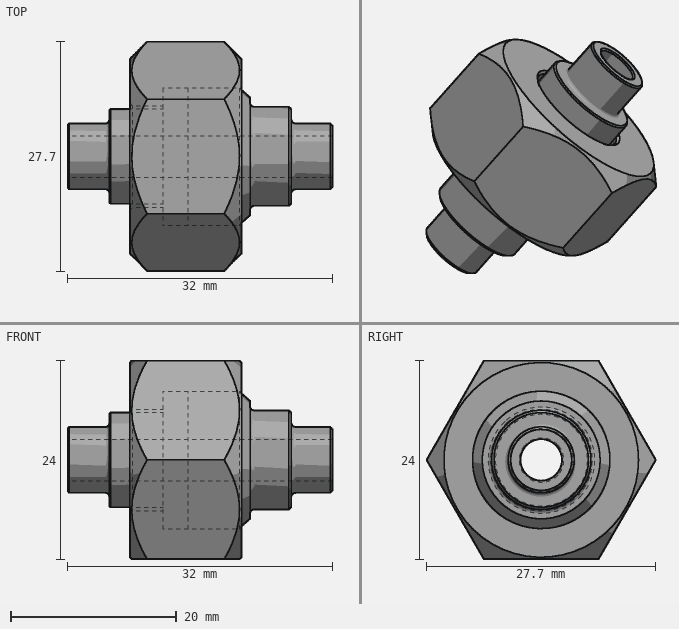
import cadquery as cq
import math

length = 32.0
left_end = -length / 2
right_end = length / 2
shank_length = 5.0
nut_width = 13.5
nut_left = left_end + 7.5
nut_right = nut_left + nut_width

across_flats = 24.0
across_corners = across_flats / math.cos(math.radians(30))
nut_face_diameter = 23.52
corner_chamfer = (across_corners - nut_face_diameter) / 2
nut_wall = 4.0
nut_opening_diameter = 12.3
nut_opening_chamfer = 0.3
thread_diameter = 16.6

bore_diameter = 5.0
bore_chamfer = 0.2
shank_diameter = 8.0

sleeve_diameter = 11.5
sleeve_edge_chamfer = 0.2
sleeve_root_fillet = 0.4
flange_thickness = 3.0
flange_left = nut_left + nut_wall
flange_right = flange_left + flange_thickness

collar_diameter = 12.0
collar_edge_chamfer = 0.3
fitting_tip_chamfer = 0.32
thread_end = right_end - 2 * shank_length
thread_chamfer_length = 1.3
thread_chamfer_depth = 1.2
fitting_root_fillet = 0.5


def cylinder(diameter, start, end):
    """Solid cylinder along X between two X positions."""
    return cq.Workplane("YZ", origin=(start, 0, 0)).circle(diameter / 2).extrude(end - start)


def chamfered_cylinder(diameter, start, end, chamfer, chamfered_end):
    """Cylinder along X with a chamfer on the rim selected as '<X' or '>X'."""
    return cylinder(diameter, start, end).faces(chamfered_end).chamfer(chamfer)


def root_flare(diameter, root, direction, root_fillet):
    """Concave fillet ring around a cylinder, leaving the wall at root in the given X direction."""
    radius = diameter / 2
    reach = direction * root_fillet
    arc_offset = root_fillet * (1 - math.sqrt(0.5))
    return (
        cq.Workplane("XY")
        .moveTo(root, 0)
        .lineTo(root, radius + root_fillet)
        .threePointArc((root + direction * arc_offset, radius + arc_offset), (root + reach, radius))
        .lineTo(root + reach, 0)
        .close()
        .revolve(360, (0, 0, 0), (1, 0, 0))
    )


def make_nut():
    blank = (
        cq.Workplane("YZ", origin=(nut_left, 0, 0))
        .polygon(6, across_corners)
        .extrude(nut_width)
    )
    corner_envelope = cylinder(across_corners, nut_left, nut_right).faces("<X or >X").chamfer(corner_chamfer)
    opening = cylinder(nut_opening_diameter, nut_left, flange_left)
    opening_rim = cq.Workplane(
        cq.Solid.makeCone(
            nut_opening_diameter / 2 + nut_opening_chamfer,
            nut_opening_diameter / 2,
            nut_opening_chamfer,
            cq.Vector(nut_left, 0, 0),
            cq.Vector(1, 0, 0),
        )
    )
    threaded_bore = cylinder(thread_diameter, flange_left, nut_right)
    return blank.intersect(corner_envelope).cut(opening).cut(opening_rim).cut(threaded_bore)


def make_sleeve():
    shoulder = left_end + shank_length
    shank = chamfered_cylinder(shank_diameter, left_end, flange_right, sleeve_edge_chamfer, "<X")
    barrel = chamfered_cylinder(sleeve_diameter, shoulder, flange_right, sleeve_edge_chamfer, "<X")
    flange = cylinder(thread_diameter, flange_left, flange_right)
    body = shank.union(barrel).union(flange).union(root_flare(shank_diameter, shoulder, -1, sleeve_root_fillet))
    bore = cylinder(bore_diameter, left_end, flange_right)
    bored = body.cut(bore)
    return bored.faces("<X").edges(cq.selectors.RadiusNthSelector(0)).chamfer(bore_chamfer)


def make_fitting():
    shoulder = right_end - shank_length
    chamfer_start = thread_end - thread_chamfer_length
    thread = cylinder(thread_diameter, flange_right, chamfer_start)
    thread_tip = cq.Workplane(
        cq.Solid.makeCone(
            thread_diameter / 2,
            thread_diameter / 2 - thread_chamfer_depth,
            thread_chamfer_length,
            cq.Vector(chamfer_start, 0, 0),
            cq.Vector(1, 0, 0),
        )
    )
    collar = chamfered_cylinder(collar_diameter, flange_right, shoulder, collar_edge_chamfer, ">X")
    shank = chamfered_cylinder(shank_diameter, flange_right, right_end, fitting_tip_chamfer, ">X")
    body = thread.union(thread_tip).union(collar).union(shank)
    body = body.union(root_flare(collar_diameter, thread_end, 1, fitting_root_fillet))
    body = body.union(root_flare(shank_diameter, shoulder, 1, fitting_root_fillet))
    return body.cut(cylinder(bore_diameter, flange_right, right_end))


nut = make_nut()
sleeve = make_sleeve()
fitting = make_fitting()

result = cq.Compound.makeCompound([nut.val(), sleeve.val(), fitting.val()])